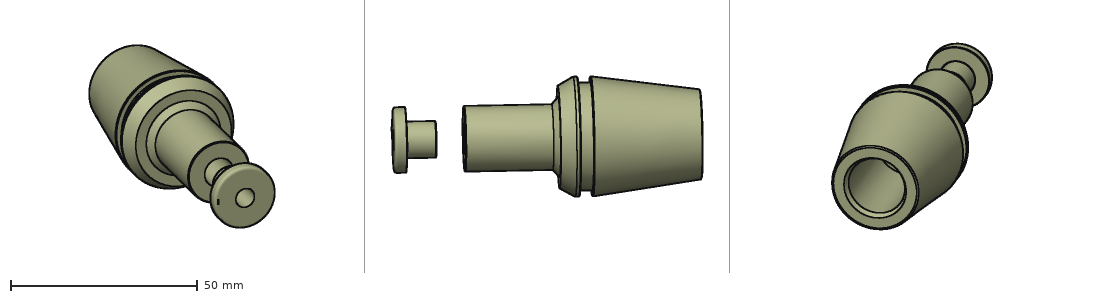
import cadquery as cq

LENGTH = 83.0
SHANK_DIAMETER = 17.8
EDGE_CHAMFER = 0.25

HEAD_DIAMETER = 32.4
NOSE_DIAMETER = 24.3
NOSE_CHAMFER_LENGTH = 0.25
NOSE_CHAMFER_DEPTH = 0.5
GROOVE_DIAMETER = 29.15
GROOVE_START = 29.6
GROOVE_END = 33.0
COLLAR_TAPER_START = 34.1
COLLAR_END = 38.3
COLLAR_END_DIAMETER = 27.7
NECK_LENGTH = 1.75
NECK_DIAMETER = 21.6
SHANK_END = 63.8

BORE_DIAMETER = 15.8
BORE_MOUTH_DIAMETER = 17.4
BORE_MOUTH_LENGTH = 1.6
BORE_DEPTH = GROOVE_START
SHANK_HOLE_DIAMETER = 8.2

PLUG_START = 71.3
PLUG_DIAMETER = 10.0
PLUG_HOLE_DIAMETER = 5.4
UNDERCUT_DIAMETER = 9.7
UNDERCUT_WIDTH = 0.25
FLANGE_START = 79.5
FLANGE_CHAMFER = 0.2
FLANGE_FILLET = 0.8

LIP_DIAMETER = 2.0
LIP_HEIGHT = 0.25
LIP_THICKNESS = 0.25
LIP_OFFSET = 7.8
FLANGE_END = LENGTH - LIP_HEIGHT


def turned(profile):
    """Revolve a closed profile of (x, radius) points about the X axis."""
    return cq.Workplane("XY").polyline(profile).close().revolve(360, (0, 0, 0), (1, 0, 0))


def make_holder():
    nose_radius = NOSE_DIAMETER / 2
    head_radius = HEAD_DIAMETER / 2
    groove_radius = GROOVE_DIAMETER / 2
    shank_radius = SHANK_DIAMETER / 2
    bore_radius = BORE_DIAMETER / 2
    hole_radius = SHANK_HOLE_DIAMETER / 2
    return turned([
        (0, nose_radius - NOSE_CHAMFER_DEPTH),
        (NOSE_CHAMFER_LENGTH, nose_radius),
        (GROOVE_START - EDGE_CHAMFER, head_radius),
        (GROOVE_START, head_radius - EDGE_CHAMFER),
        (GROOVE_START, groove_radius),
        (GROOVE_END, groove_radius),
        (GROOVE_END, head_radius - EDGE_CHAMFER),
        (GROOVE_END + EDGE_CHAMFER, head_radius),
        (COLLAR_TAPER_START, head_radius),
        (COLLAR_END, COLLAR_END_DIAMETER / 2),
        (COLLAR_END, NECK_DIAMETER / 2),
        (COLLAR_END + NECK_LENGTH, shank_radius),
        (SHANK_END - EDGE_CHAMFER, shank_radius),
        (SHANK_END, shank_radius - EDGE_CHAMFER),
        (SHANK_END, hole_radius),
        (BORE_DEPTH, hole_radius),
        (BORE_DEPTH, bore_radius),
        (BORE_MOUTH_LENGTH, bore_radius),
        (0, BORE_MOUTH_DIAMETER / 2),
    ])


def make_lip():
    disc_center = LENGTH - LIP_DIAMETER / 2
    return (
        cq.Workplane("XZ", origin=(disc_center, -LIP_OFFSET + LIP_THICKNESS / 2, 0))
        .circle(LIP_DIAMETER / 2)
        .extrude(LIP_THICKNESS)
    )


def make_plug():
    plug_radius = PLUG_DIAMETER / 2
    undercut_radius = UNDERCUT_DIAMETER / 2
    flange_radius = SHANK_DIAMETER / 2
    hole_radius = PLUG_HOLE_DIAMETER / 2
    body = turned([
        (PLUG_START, hole_radius),
        (PLUG_START, plug_radius - EDGE_CHAMFER),
        (PLUG_START + EDGE_CHAMFER, plug_radius),
        (FLANGE_START - UNDERCUT_WIDTH, plug_radius),
        (FLANGE_START - UNDERCUT_WIDTH, undercut_radius),
        (FLANGE_START, undercut_radius),
        (FLANGE_START, flange_radius - FLANGE_CHAMFER),
        (FLANGE_START + FLANGE_CHAMFER, flange_radius),
        (FLANGE_END, flange_radius),
        (FLANGE_END, hole_radius),
    ])
    outer_rim = cq.selectors.RadiusNthSelector(-1)
    body = body.faces(">X").edges(outer_rim).fillet(FLANGE_FILLET)
    return body.union(make_lip()).solids()


holder = make_holder()
plug = make_plug()
result = cq.Compound.makeCompound([holder.val(), plug.val()])